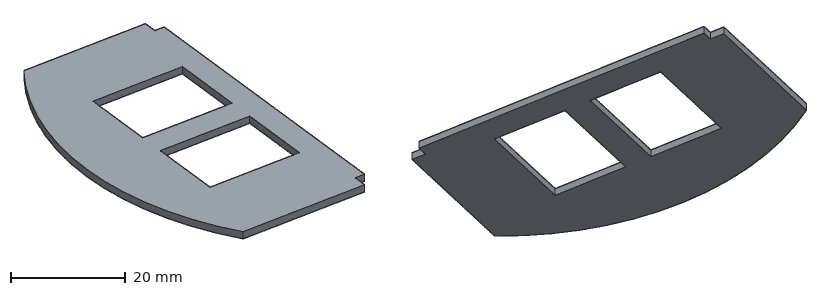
import cadquery as cq

width = 65.0
depth = 38.2
thickness = 1.5

notch_width = 2.8
notch_depth = 2.0

arc_rise = 10.1

window_width = 14.7
window_depth = 19.2
window_gap = 5.25
window_rear_margin = 5.1

half_width = width / 2
tab_half_width = half_width - notch_width
rear_y = depth / 2
front_y = -depth / 2
shoulder_y = rear_y - notch_depth
arc_end_y = front_y + arc_rise


def make_plate():
    """Flat plate with notched rear corners and an arched front edge."""
    return (
        cq.Workplane("XY")
        .moveTo(-half_width, arc_end_y)
        .threePointArc((0, front_y), (half_width, arc_end_y))
        .lineTo(half_width, shoulder_y)
        .lineTo(tab_half_width, shoulder_y)
        .lineTo(tab_half_width, rear_y)
        .lineTo(-tab_half_width, rear_y)
        .lineTo(-tab_half_width, shoulder_y)
        .lineTo(-half_width, shoulder_y)
        .close()
        .extrude(thickness)
    )


def make_windows():
    """Cutters for the two through windows."""
    center_x = (window_gap + window_width) / 2
    center_y = rear_y - window_rear_margin - window_depth / 2
    return (
        cq.Workplane("XY")
        .pushPoints([(-center_x, center_y), (center_x, center_y)])
        .rect(window_width, window_depth)
        .extrude(thickness)
    )


result = make_plate().cut(make_windows())